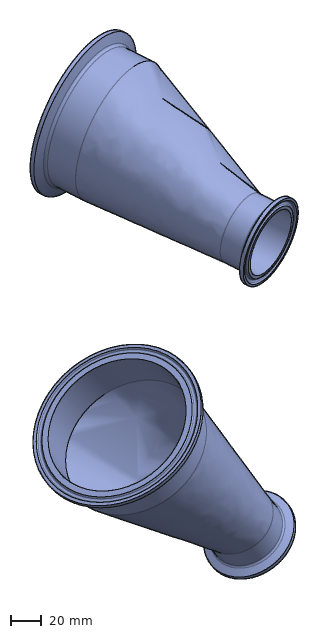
import cadquery as cq
import math

LENGTH = 167.0
CONE_START = 30.0
SMALL_TUBE_LENGTH = 22.7
CONE_END = LENGTH - SMALL_TUBE_LENGTH

LARGE_TUBE_RADIUS = 101.5 / 2
LARGE_BORE_RADIUS = 97.5 / 2
LARGE_FLANGE_RADIUS = 119.0 / 2
LARGE_GROOVE_RADIUS = 55.1
LARGE_NECK_FILLET = 2.3

SMALL_TUBE_RADIUS = 50.8 / 2
SMALL_BORE_RADIUS = 47.8 / 2
SMALL_FLANGE_RADIUS = 64.0 / 2
SMALL_GROOVE_RADIUS = 28.2
SMALL_NECK_FILLET = 1.7

SMALL_AXIS_Y = SMALL_TUBE_RADIUS - LARGE_TUBE_RADIUS

RIM_THICKNESS = 3.0
FLANGE_BACK_ANGLE = math.radians(20)
GROOVE_MOUTH_WIDTH = 4.0
GROOVE_FLOOR_WIDTH = 2.2
GROOVE_WALL_DEPTH = 1.0
GROOVE_DEPTH = 1.5


def reducer_body(large_radius, small_radius):
    """Straight tube, eccentric cone and straight tube, all solid."""
    cone = (
        cq.Workplane("YZ", origin=(CONE_START, 0, 0))
        .circle(large_radius)
        .workplane(offset=CONE_END - CONE_START)
        .center(SMALL_AXIS_Y, 0)
        .circle(small_radius)
        .loft(ruled=True)
    )
    large_tube = cq.Workplane("YZ").circle(large_radius).extrude(CONE_START)
    small_tube = (
        cq.Workplane("YZ", origin=(CONE_END, SMALL_AXIS_Y, 0))
        .circle(small_radius)
        .extrude(SMALL_TUBE_LENGTH)
    )
    return cone.union(large_tube).union(small_tube)


def revolve_about_x(profile):
    return profile.close().revolve(360, (0, 0, 0), (1, 0, 0))


def flange(tube_radius, flange_radius, neck_fillet):
    """Solid flange with its sealing face at X = 0, and its neck toward +X."""
    back_end = RIM_THICKNESS + (flange_radius - tube_radius) * math.tan(FLANGE_BACK_ANGLE)
    turn = math.pi / 2 - FLANGE_BACK_ANGLE
    tangent_length = neck_fillet * math.tan(turn / 2)
    neck_end = back_end + tangent_length
    fillet_start = (
        back_end - tangent_length * math.sin(FLANGE_BACK_ANGLE),
        tube_radius + tangent_length * math.cos(FLANGE_BACK_ANGLE),
    )
    fillet_middle = (
        neck_end - neck_fillet * math.sin(turn / 2),
        tube_radius + neck_fillet * (1 - math.cos(turn / 2)),
    )
    return revolve_about_x(
        cq.Workplane("XY")
        .lineTo(0, flange_radius)
        .lineTo(RIM_THICKNESS, flange_radius)
        .lineTo(*fillet_start)
        .threePointArc(fillet_middle, (neck_end, tube_radius))
        .lineTo(neck_end, 0)
    )


def gasket_groove(groove_radius):
    """Ring groove with sloped walls and a rounded floor, cut into a sealing face at X = 0."""
    return revolve_about_x(
        cq.Workplane("XY")
        .moveTo(0, groove_radius - GROOVE_MOUTH_WIDTH / 2)
        .lineTo(GROOVE_WALL_DEPTH, groove_radius - GROOVE_FLOOR_WIDTH / 2)
        .threePointArc(
            (GROOVE_DEPTH, groove_radius),
            (GROOVE_WALL_DEPTH, groove_radius + GROOVE_FLOOR_WIDTH / 2),
        )
        .lineTo(0, groove_radius + GROOVE_MOUTH_WIDTH / 2)
    )


def at_small_end(shape):
    """Turn a shape to face +X and move it to the small end."""
    return shape.mirror("YZ").translate((LENGTH, SMALL_AXIS_Y, 0))


large_flange = flange(LARGE_TUBE_RADIUS, LARGE_FLANGE_RADIUS, LARGE_NECK_FILLET)
small_flange = flange(SMALL_TUBE_RADIUS, SMALL_FLANGE_RADIUS, SMALL_NECK_FILLET)

outside = (
    reducer_body(LARGE_TUBE_RADIUS, SMALL_TUBE_RADIUS)
    .union(large_flange)
    .union(at_small_end(small_flange))
)

result = (
    outside
    .cut(reducer_body(LARGE_BORE_RADIUS, SMALL_BORE_RADIUS))
    .cut(gasket_groove(LARGE_GROOVE_RADIUS))
    .cut(at_small_end(gasket_groove(SMALL_GROOVE_RADIUS)))
)